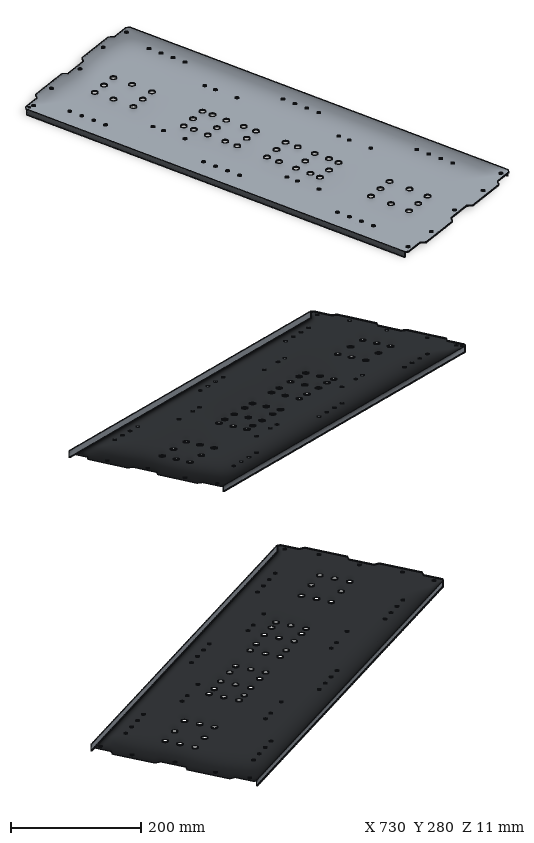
import cadquery as cq

length = 730.0
width = 280.0
height = 11.0
thickness = 2.0
flange_length = 707.0

recess_depth = 7.0
tab_inner_y = 27.0
tab_outer_y = 98.5
tab_slope = 6.0
corner_chamfer_y = 4.5

small_radius = 3.0
large_radius = 5.2
marker_radius = 2.05

recess_hole_x = 350.0
corner_hole_y = 125.5
tab_hole_x = 355.0
tab_hole_y = 70.0
marker_x = -352.5
marker_y = -133.5

quad_group_count = 3
quad_groups_span = 500.0
group_pitch = quad_groups_span / (quad_group_count - 1)
quad_start_x = -295.0
quad_hole_count = 4
quad_span = 67.0
quad_spacing = quad_span / (quad_hole_count - 1)
quad_y = 107.0
triple_group_count = 2
triple_start_x = -165.0
triple_steps = (0.0, 20.0, 60.0)
triple_y = tab_hole_y

lowered_rows_y = (9.0, -17.0, -41.5)
lowered_column_x = (82.5, 127.0, 293.5)
main_rows_y = (9.5, -15.0, -41.0)
main_column_x = (28.0, 222.0)
open_column_x = (50.5, 109.0, 259.0)


def make_plate():
    """Flat top plate with tabbed ends and chamfered corners."""
    tab_x = length / 2
    recess_x = tab_x - recess_depth
    upper_right = [
        (recess_x, tab_inner_y - tab_slope),
        (tab_x, tab_inner_y),
        (tab_x, tab_outer_y),
        (recess_x, tab_outer_y + tab_slope),
        (recess_x, width / 2 - corner_chamfer_y),
        (flange_length / 2, width / 2),
    ]
    upper_left = [(-x, y) for x, y in reversed(upper_right)]
    upper = upper_right + upper_left
    lower = [(-x, -y) for x, y in upper]
    return (
        cq.Workplane("XY")
        .workplane(offset=height - thickness)
        .polyline(upper + lower)
        .close()
        .extrude(thickness)
    )


def make_flange(side):
    """Flange folded down along one long edge; side is +1 or -1 in Y."""
    center_y = side * (width - thickness) / 2
    return (
        cq.Workplane("XY")
        .center(0, center_y)
        .rect(flange_length, thickness)
        .extrude(height)
    )


def cut_holes(body, points, radius):
    """Cut round through holes at the given XY points."""
    cutter = cq.Workplane("XY").pushPoints(points).circle(radius).extrude(height)
    return body.cut(cutter)


def end_points():
    """Small holes in the recesses and tabs at both ends."""
    points = []
    for end in (-1, 1):
        points += [(end * recess_hole_x, y) for y in (-corner_hole_y, 0, corner_hole_y)]
        points += [(end * tab_hole_x, y) for y in (-tab_hole_y, tab_hole_y)]
    return points


def group_points(count, start_x, steps, row_y):
    """Repeat a row of holes along X, once on each side of the X axis."""
    return [
        (start_x + group * group_pitch + step, side * row_y)
        for group in range(count)
        for step in steps
        for side in (-1, 1)
    ]


def large_points():
    """Full and open columns of large holes on both halves of the plate."""
    points = []
    open_rows_y = (main_rows_y[0], main_rows_y[-1])
    for end in (-1, 1):
        points += [(end * x, y) for x in lowered_column_x for y in lowered_rows_y]
        points += [(end * x, y) for x in main_column_x for y in main_rows_y]
        points += [(end * x, y) for x in open_column_x for y in open_rows_y]
    return points


quad_steps = [i * quad_spacing for i in range(quad_hole_count)]
quad_points = group_points(quad_group_count, quad_start_x, quad_steps, quad_y)
triple_points = group_points(triple_group_count, triple_start_x, triple_steps, triple_y)

result = make_plate().union(make_flange(-1)).union(make_flange(1))
result = cut_holes(result, end_points(), small_radius)
result = cut_holes(result, quad_points, small_radius)
result = cut_holes(result, triple_points, small_radius)
result = cut_holes(result, large_points(), large_radius)
result = cut_holes(result, [(marker_x, marker_y)], marker_radius)